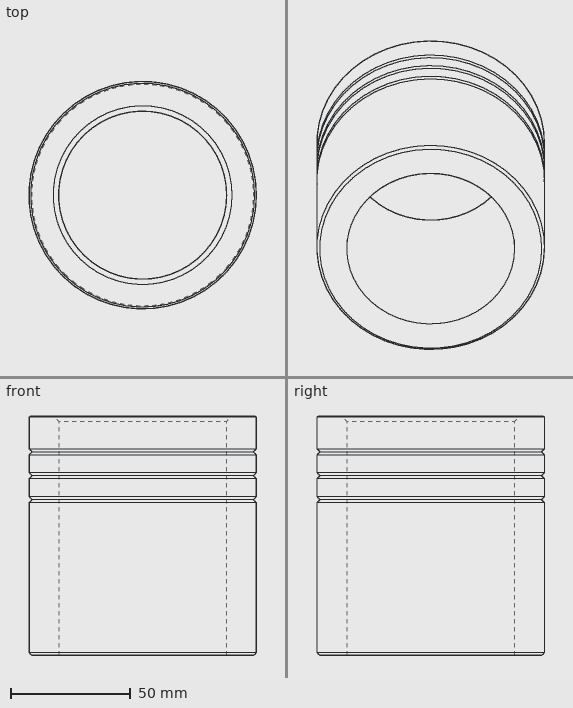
import cadquery as cq

height = 100.0
outer_diameter = 95.0
bore_diameter = 70.0

top_outer_chamfer_width = 0.8
top_outer_chamfer_height = 0.5
bottom_outer_chamfer = 1.2
bore_chamfer = 2.3

groove_count = 3
groove_pitch = 10.0
first_groove_depth_from_top = 15.0
groove_width = 2.5
groove_depth = groove_width / 2

outer_radius = outer_diameter / 2
bore_radius = bore_diameter / 2


def make_sleeve():
    """Revolve the wall section, with its chamfered edges, about Z."""
    section = [
        (bore_radius, 0),
        (outer_radius - bottom_outer_chamfer, 0),
        (outer_radius, bottom_outer_chamfer),
        (outer_radius, height - top_outer_chamfer_height),
        (outer_radius - top_outer_chamfer_width, height),
        (bore_radius + bore_chamfer, height),
        (bore_radius, height - bore_chamfer),
    ]
    return cq.Workplane("XZ").polyline(section).close().revolve(360, (0, 0), (0, 1))


def make_groove_cutter(center_z):
    """Make a triangular ring whose apex points toward the axis."""
    section = [
        (outer_radius, center_z - groove_width / 2),
        (outer_radius - groove_depth, center_z),
        (outer_radius, center_z + groove_width / 2),
    ]
    return cq.Workplane("XZ").polyline(section).close().revolve(360, (0, 0), (0, 1))


result = make_sleeve()
for index in range(groove_count):
    groove_z = height - first_groove_depth_from_top - index * groove_pitch
    result = result.cut(make_groove_cutter(groove_z))